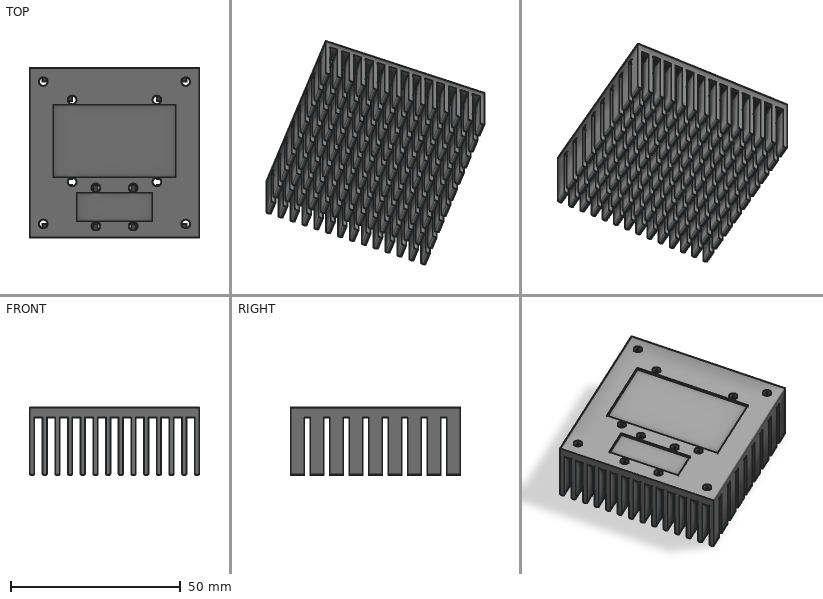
import cadquery as cq

side = 50.0
height = 20.0
base_thickness = 3.0
base_underside = height - base_thickness
top_edge_radius = 0.2

fins_x = 14
fins_y = 9
fin_thickness = 1.4
fin_width = 4.0
fin_height = base_underside
fin_tip_radius = 0.6

hole_diameter = 2.5
corner_hole_offset = 21.0

pocket_depth = 0.8
large_pocket_length = 36.0
large_pocket_width = 21.3
large_pocket_y = 3.5
large_hole_x = 12.5
large_hole_y = 12.1
small_pocket_length = 22.4
small_pocket_width = 8.4
small_pocket_y = -16.0
small_hole_x = 5.5
small_hole_y = 5.65


def make_fin():
    """One fin standing on Z = 0, with its two long tip edges rounded."""
    fin = cq.Workplane("XY").box(fin_thickness, fin_width, fin_height, centered=(True, True, False))
    return fin.faces("<Z").edges("|Y").fillet(fin_tip_radius)


def add_fins(body):
    """Fill the underside of the base with a grid of fins flush with its sides."""
    pitch_x = (side - fin_thickness) / (fins_x - 1)
    pitch_y = (side - fin_width) / (fins_y - 1)
    fin_centers = cq.Workplane("XY").rarray(pitch_x, pitch_y, fins_x, fins_y)
    fin = make_fin().val()
    fins = fin_centers.eachpoint(lambda location: fin.moved(location))
    return body.union(fins)


def cut_pocket(body, length, width, center_y):
    """Sink a rectangular pocket, centred across X, into the top face."""
    pocket = (
        cq.Workplane("XY", origin=(0, center_y, height - pocket_depth))
        .rect(length, width)
        .extrude(pocket_depth)
    )
    return body.cut(pocket)


def cut_four_holes(body, offset_x, offset_y, center_y):
    """Drill four holes through the base plate only, leaving the fins whole."""
    holes = (
        cq.Workplane("XY", origin=(0, center_y, base_underside))
        .rect(2 * offset_x, 2 * offset_y, forConstruction=True)
        .vertices()
        .circle(hole_diameter / 2)
        .extrude(base_thickness)
    )
    return body.cut(holes)


base = (
    cq.Workplane("XY", origin=(0, 0, base_underside))
    .rect(side, side)
    .extrude(base_thickness)
)
base = base.faces(">Z").edges("|Y").fillet(top_edge_radius)

base = cut_pocket(base, large_pocket_length, large_pocket_width, large_pocket_y)
base = cut_pocket(base, small_pocket_length, small_pocket_width, small_pocket_y)
base = cut_four_holes(base, corner_hole_offset, corner_hole_offset, 0)
base = cut_four_holes(base, large_hole_x, large_hole_y, large_pocket_y)
base = cut_four_holes(base, small_hole_x, small_hole_y, small_pocket_y)

result = add_fins(base)